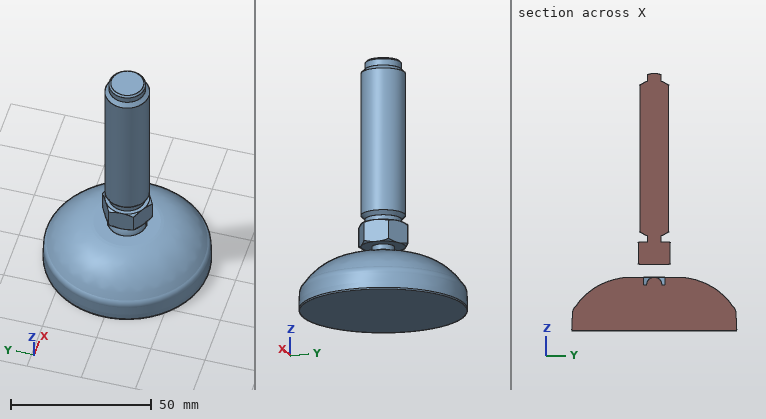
import cadquery as cq
import math

total_height = 91.7

foot_radius = 30.0
foot_bottom_chamfer = 0.2
band_bottom = 0.55
band_top = 2.6
wall_top_radius = 29.8
wall_top = 6.05
shoulder_radius = 28.7
shoulder_height = 8.6
shoulder_mid_radius = 29.6
shoulder_mid_height = 7.3
dome_mid_radius = 22.65
dome_mid_height = 14.95
crown_radius = 13.1
crown_height = 18.9
foot_top = 19.1
foot_flat_radius = 12.0

ball_radius = 13.3 / 2
neck_radius = 8.1 / 2
neck_bottom = 21.6
socket_radius = 14.1 / 2
ball_center = neck_bottom - math.sqrt(ball_radius**2 - neck_radius**2)

hex_across_flats = 16.0
hex_bottom = 23.6
hex_top = 31.6
hex_chamfer_angle = math.radians(30)

stud_radius = 16.0 / 2
core_radius = 13.0 / 2
stud_chamfer = stud_radius - core_radius
stud_bottom = 33.65
tip_length = 2.9
tip_chamfer = 0.6
stud_top = total_height - tip_length


def make_foot():
    """Domed foot with a cylindrical socket down to the middle of the ball."""
    foot = (
        cq.Workplane("XZ")
        .lineTo(foot_radius - foot_bottom_chamfer, 0)
        .lineTo(foot_radius, band_bottom)
        .lineTo(foot_radius, band_top)
        .lineTo(wall_top_radius, wall_top)
        .threePointArc((shoulder_mid_radius, shoulder_mid_height), (shoulder_radius, shoulder_height))
        .threePointArc((dome_mid_radius, dome_mid_height), (crown_radius, crown_height))
        .lineTo(foot_flat_radius, foot_top)
        .lineTo(0, foot_top)
        .close()
        .revolve(360, (0, 0, 0), (0, 1, 0))
    )
    socket = (
        cq.Workplane("XY")
        .workplane(offset=ball_center)
        .circle(socket_radius)
        .extrude(foot_top - ball_center)
    )
    return foot.cut(socket)


def make_ball_and_neck():
    ball = cq.Workplane("XY").sphere(ball_radius).translate((0, 0, ball_center))
    neck = (
        cq.Workplane("XY")
        .workplane(offset=ball_center)
        .circle(neck_radius)
        .extrude(hex_bottom - ball_center)
    )
    return ball.union(neck)


def make_hexagon():
    """Hexagon with corners on the Y axis, chamfered by cones at both ends."""
    flat_radius = hex_across_flats / 2
    corner_radius = flat_radius / math.cos(math.radians(30))
    corner_drop = (corner_radius - flat_radius) * math.tan(hex_chamfer_angle)
    prism = (
        cq.Workplane("XY")
        .workplane(offset=hex_bottom)
        .polygon(6, 2 * corner_radius)
        .extrude(hex_top - hex_bottom)
        .rotate((0, 0, 0), (0, 0, 1), 30)
    )
    envelope = (
        cq.Workplane("XZ")
        .moveTo(0, hex_bottom)
        .lineTo(flat_radius, hex_bottom)
        .lineTo(corner_radius, hex_bottom + corner_drop)
        .lineTo(corner_radius, hex_top - corner_drop)
        .lineTo(flat_radius, hex_top)
        .lineTo(0, hex_top)
        .close()
        .revolve(360, (0, 0, 0), (0, 1, 0))
    )
    return prism.intersect(envelope)


def make_stud():
    """Plain stud with chamfered ends, a relief below it and a reduced tip above."""
    return (
        cq.Workplane("XZ")
        .moveTo(0, hex_top)
        .lineTo(core_radius, hex_top)
        .lineTo(core_radius, stud_bottom)
        .lineTo(stud_radius, stud_bottom + stud_chamfer)
        .lineTo(stud_radius, stud_top - stud_chamfer)
        .lineTo(core_radius, stud_top)
        .lineTo(core_radius, total_height - tip_chamfer)
        .lineTo(core_radius - tip_chamfer, total_height)
        .lineTo(0, total_height)
        .close()
        .revolve(360, (0, 0, 0), (0, 1, 0))
    )


result = make_foot().union(make_ball_and_neck()).union(make_hexagon()).union(make_stud())